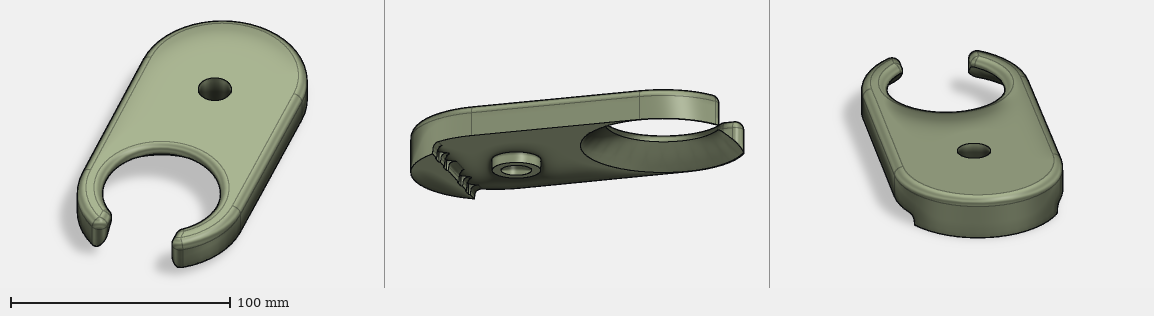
import cadquery as cq
import math

plate_thickness = 15.0
back_radius = 38.7
front_radius = 38.45
end_spacing = 79.8
edge_round = 4.0

ring_top_radius = 26.8
ring_center_y = -end_spacing
mouth_width = 31.5
flare_height = plate_thickness - edge_round
cutter_margin = 10.0

hole_y = -9.9
hole_top_radius = 7.55
hole_bottom_radius = 6.95
boss_root_radius = 11.25
boss_end_radius = 11.05
foot_height = 5.0

rib_front_y = back_radius - 18.9
rib_front_lean = 0.25
root_fillet = 3.0
notch_floor_width = 5.0
notch_mouth_width = 6.35
notch_flank_angle = 38.0
outer_notch_x = 23.65
inner_notch_x = 11.4


def plate_outline():
    """Two end arcs joined by their common outer tangents."""
    tilt = math.asin((back_radius - front_radius) / end_spacing)
    back_x = back_radius * math.cos(tilt)
    back_y = -back_radius * math.sin(tilt)
    front_x = front_radius * math.cos(tilt)
    front_y = ring_center_y - front_radius * math.sin(tilt)
    return (
        cq.Workplane("XY")
        .moveTo(-back_x, back_y)
        .threePointArc((0, back_radius), (back_x, back_y))
        .lineTo(front_x, front_y)
        .threePointArc((0, ring_center_y - front_radius), (-front_x, front_y))
        .close()
    )


def ring_flare():
    """Conical cutter widening from the ring bore to the underside."""
    bottom_radius = ring_top_radius + flare_height
    return (
        cq.Workplane("XZ", origin=(0, ring_center_y, 0))
        .polyline([
            (0, 0),
            (bottom_radius, 0),
            (ring_top_radius, flare_height),
            (0, flare_height),
        ])
        .close()
        .revolve(360, (0, 0, 0), (0, 1, 0))
    )


def open_plate():
    """Plate with the open ring, rounded arm tips, rounded top rim and flare."""
    plate = plate_outline().extrude(plate_thickness)
    bore = (
        cq.Workplane("XY")
        .center(0, ring_center_y)
        .circle(ring_top_radius)
        .extrude(plate_thickness)
    )
    mouth_length = front_radius + cutter_margin
    mouth = (
        cq.Workplane("XY")
        .center(0, ring_center_y - mouth_length / 2)
        .rect(mouth_width, mouth_length)
        .extrude(plate_thickness)
    )
    plate = plate.cut(bore).cut(mouth)
    tip_edges = cq.selectors.BoxSelector(
        (-mouth_width, ring_center_y - front_radius - cutter_margin, 0),
        (mouth_width, ring_center_y - ring_top_radius / 2, plate_thickness),
    )
    plate = plate.edges("|Z").edges(tip_edges).fillet(edge_round)
    plate = plate.faces(">Z").edges().fillet(edge_round)
    return plate.cut(ring_flare())


def notch(center_x):
    """Trapezoidal cutter whose flanks run on through the root fillet."""
    flank_slope = math.tan(math.radians(notch_flank_angle))
    notch_depth = (notch_mouth_width - notch_floor_width) / 2 / flank_slope
    floor_half = notch_floor_width / 2
    open_half = notch_mouth_width / 2 + root_fillet * flank_slope
    floor_y = rib_front_y + notch_depth
    open_y = rib_front_y - root_fillet
    return (
        cq.Workplane("XY")
        .polyline([
            (center_x - floor_half, floor_y),
            (center_x + floor_half, floor_y),
            (center_x + open_half, open_y),
            (center_x - open_half, open_y),
        ])
        .close()
        .extrude(-foot_height)
    )


def back_rib():
    """Rib following the back end, filleted into the plate at its front face."""
    fillet_y = rib_front_y - root_fillet
    bend = root_fillet * (1 - math.sqrt(0.5))
    profile = (
        cq.Workplane("YZ", origin=(-back_radius, 0, 0))
        .moveTo(fillet_y, 0)
        .threePointArc((rib_front_y - bend, -bend), (rib_front_y, -root_fillet))
        .lineTo(rib_front_y + rib_front_lean, -foot_height)
        .lineTo(back_radius, -foot_height)
        .lineTo(back_radius, 0)
        .close()
        .extrude(2 * back_radius)
    )
    rib = plate_outline().extrude(-foot_height).intersect(profile)
    for center_x in (-outer_notch_x, -inner_notch_x, inner_notch_x, outer_notch_x):
        rib = rib.cut(notch(center_x))
    return rib


def tapered_round(top_z, top_radius, bottom_radius):
    """Truncated cone on the pivot axis, from the foot level up to top_z."""
    return (
        cq.Workplane("XY", origin=(0, hole_y, -foot_height))
        .circle(bottom_radius)
        .workplane(offset=top_z + foot_height)
        .circle(top_radius)
        .loft()
    )


def boss():
    return tapered_round(0, boss_root_radius, boss_end_radius)


def pivot_hole():
    """Slightly tapered through hole, widest at the top."""
    return tapered_round(plate_thickness, hole_top_radius, hole_bottom_radius)


result = open_plate().union(back_rib()).union(boss()).cut(pivot_hole())